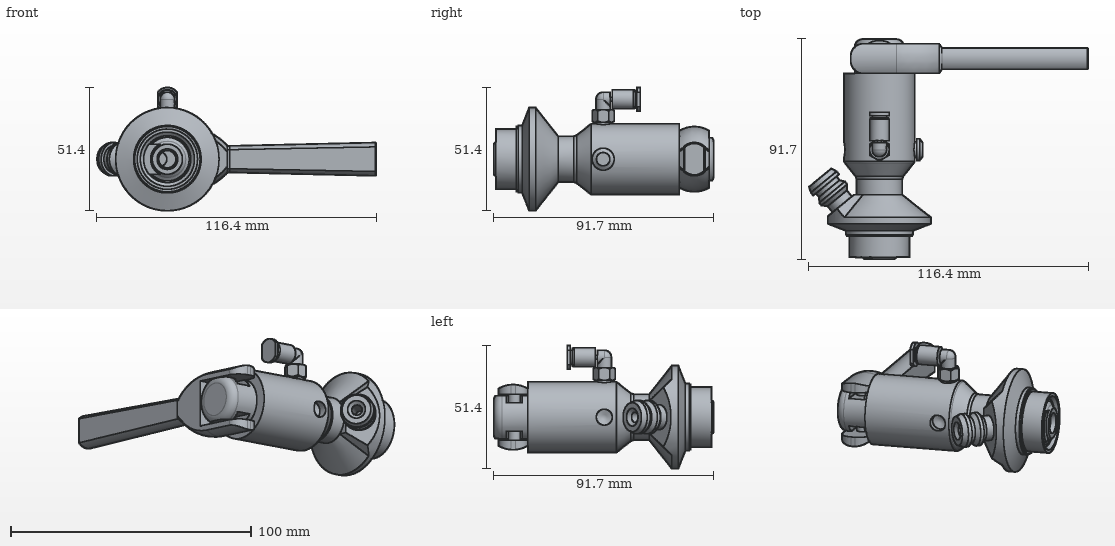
import cadquery as cq
import math


spigot_radius = 12.6
collar_radius = 14.1
collar_y = 8.6
collar_top_y = 10.9
collar_step = 0.5
collar_step_y = 9.3
flange_radius = 21.5
flange_y = 13.9
flange_top_y = 16.5
waist_radius = 9.6
waist_y = 26.0
waist_top_y = 32.5
body_cone_root_radius = 10.0
body_cone_root_y = 33.6
body_radius = 14.8
body_edge = 0.3
body_cone_y = 39.2
body_y = 39.8
body_top_y = 76.5

mouth_radius = 11.3
mouth_floor_radius = 9.8
mouth_depth = 1.4
seat_root_radius = 9.1
seat_top_radius = 7.6
seat_top_y = 0.3
plug_radius = 6.3
plug_face_y = -0.9
plug_hole_radius = 4.3
plug_hole_floor_radius = 3.6
plug_hole_depth = 2.1
drain_radius = 3.0
drain_x = -3.3
drain_depth = 0.6
lobe_radius = 9.9
lobe_face_y = -0.2

outlet_tilt = 39.5
outlet_origin_y = 3.1
pad_distance = 24.3
pad_top_half_width = 6.8
pad_base_half_width = 16.0
outlet_base_overlap = 2.3
outlet_neck_radius = 5.2
outlet_groove_radius = 5.6
outlet_ring_radius = 7.0
outlet_end_radius = 6.0
outlet_end = 38.8
outlet_rim_width = 4.0
outlet_rim_bevel = 2.3
outlet_ring_start = 27.6
outlet_ring_bevel = 1.9
outlet_ring_width = 5.2
outlet_bore_radius = 2.15
outlet_mouth_radius = 3.7
outlet_mouth_depth = 1.4
outlet_bore_depth = 14

stem_radius = 10.4
stem_top_y = 90.8
stem_fillet = 3.5
stem_half_thickness = 9.0
pivot_y = 82.2
pivot_slot_width = 6.6
pivot_slot_floor = 5.9
pivot_pin_radius = 2.5

fork_back_x = -12.0
fork_corner_radius = 5.2
fork_bend_x = 7.0
fork_end_x = 24.9
fork_bend_radius = 24.5
fork_depth = 12.3
fork_crown = 13.6
fork_shoulder = 11.9
fork_gap = 9.5
fork_gap_end_x = 10.9
lever_y = 82.6
grip_x = 26.1
grip_end_x = 87.1
grip_depth = 9.0
grip_root_shoulder = 4.0
grip_root_crown = 5.6
grip_end_shoulder = 5.1
grip_end_crown = 7.0
grip_end_chamfer = 0.5

port_y = 44.7
side_hole_radius = 3.32
side_hole_depth = 3.5
drill_tip_depth = 1.2
knob_stem_radius = 3.32
knob_head_radius = 4.6
knob_face_radius = 2.8
knob_head_x = 15.5
knob_rim_x = 16.8
knob_end_x = 18.2

nut_flats = 8.0
nut_z = 15.4
nut_top_z = 20.6
nut_chamfer = 0.6
nut_seat_radius = 3.32
elbow_radius = 3.0
elbow_z = 24.9
elbow_end_y = 47.6
link_radius = 0.87
sleeve_radius = 4.02
sleeve_y = 48.4
sleeve_end_y = 57.3
sleeve_lip_radius = 3.7
sleeve_lip_y = 58.0
release_neck_radius = 3.0
release_y = 58.8
release_end_y = 60.2
release_radius = 5.0
release_width = 8.0


def turned(outline):
    """Solid of revolution about Y from (radius, y) points."""
    return cq.Workplane("XY").polyline(outline).close().revolve(360, (0, 0, 0), (0, 1, 0))


def rod_y(radius, y_start, y_end, z=0):
    """Cylinder along Y."""
    start = cq.Vector(0, y_start, z)
    return cq.Workplane(cq.Solid.makeCylinder(radius, y_end - y_start, start, cq.Vector(0, 1, 0)))


def rod_z(radius, y, z_start, z_end):
    """Cylinder along Z at X = 0."""
    start = cq.Vector(0, y, z_start)
    return cq.Workplane(cq.Solid.makeCylinder(radius, z_end - z_start, start, cq.Vector(0, 0, 1)))


def box(x_range, y_range, z_range):
    """Box from its limits along X, Y and Z."""
    sizes = [high - low for low, high in (x_range, y_range, z_range)]
    corner = (x_range[0], y_range[0], z_range[0])
    return cq.Workplane("XY").box(*sizes, centered=False).translate(corner)


def on_outlet(shape):
    """Move a shape built along Y onto the tilted outlet axis."""
    return shape.rotate((0, 0, 0), (0, 0, 1), outlet_tilt).translate((0, outlet_origin_y, 0))


def make_body():
    return turned([
        (0, 0),
        (spigot_radius, 0),
        (spigot_radius, collar_y),
        (collar_radius - collar_step, collar_y),
        (collar_radius - collar_step, collar_step_y),
        (collar_radius, collar_step_y),
        (collar_radius, collar_top_y),
        (flange_radius, flange_y),
        (flange_radius, flange_top_y),
        (waist_radius, waist_y),
        (waist_radius, waist_top_y),
        (body_cone_root_radius, body_cone_root_y),
        (body_radius - body_edge, body_cone_y),
        (body_radius, body_y),
        (body_radius, body_top_y),
        (0, body_top_y),
    ])


def cut_inlet(body):
    mouth = turned([
        (0, 0),
        (mouth_radius, 0),
        (mouth_floor_radius, mouth_depth),
        (0, mouth_depth),
    ])
    plug = turned([
        (0, plug_face_y),
        (plug_radius, plug_face_y),
        (seat_top_radius, seat_top_y),
        (seat_root_radius, mouth_depth),
        (0, mouth_depth),
    ])
    lobe = rod_y(lobe_radius, lobe_face_y, mouth_depth).intersect(
        box((-lobe_radius, 0), (lobe_face_y, mouth_depth), (-plug_radius, plug_radius))
    )
    floor_y = plug_face_y + plug_hole_depth
    drain = rod_y(drain_radius, floor_y, floor_y + drain_depth).translate((drain_x, 0, 0))
    drain = drain.intersect(rod_y(plug_hole_floor_radius, floor_y, floor_y + drain_depth))
    hole = turned([
        (0, plug_face_y),
        (plug_hole_radius, plug_face_y),
        (plug_hole_floor_radius, floor_y),
        (0, floor_y),
    ])
    return body.cut(mouth).union(lobe).union(plug).cut(hole).cut(drain)


def make_outlet_pad():
    """Wedge on the flange cone, flat and square to the outlet axis on top."""
    wedge = (
        cq.Workplane("YZ")
        .polyline([
            (flange_top_y, -pad_base_half_width),
            (waist_y, -pad_top_half_width),
            (waist_y, pad_top_half_width),
            (flange_top_y, pad_base_half_width),
        ])
        .close()
        .extrude(-flange_radius)
    )
    below_flat = on_outlet(rod_y(2 * flange_radius, 0, pad_distance))
    return wedge.intersect(rod_y(flange_radius, flange_top_y, waist_y)).intersect(below_flat)


def make_outlet():
    """Hose spigot with a bevelled ring and a bevelled end rim."""
    base = pad_distance - outlet_base_overlap
    ring_end = outlet_ring_start + outlet_ring_width
    rim_start = outlet_end - outlet_rim_width
    return on_outlet(turned([
        (0, base),
        (outlet_neck_radius, base),
        (outlet_neck_radius, outlet_ring_start),
        (outlet_ring_radius, outlet_ring_start + outlet_ring_bevel),
        (outlet_ring_radius, ring_end - outlet_ring_bevel),
        (outlet_groove_radius, ring_end),
        (outlet_groove_radius, rim_start),
        (outlet_ring_radius, rim_start),
        (outlet_ring_radius, outlet_end - outlet_rim_bevel),
        (outlet_end_radius, outlet_end),
        (0, outlet_end),
    ]))


def make_outlet_bore():
    return on_outlet(turned([
        (0, outlet_end - outlet_bore_depth),
        (outlet_bore_radius, outlet_end - outlet_bore_depth),
        (outlet_bore_radius, outlet_end - outlet_mouth_depth),
        (outlet_mouth_radius, outlet_end),
        (0, outlet_end),
    ]))


def make_stem():
    stem = rod_y(stem_radius, body_top_y, stem_top_y).faces(">Y").edges().fillet(stem_fillet)
    stem = stem.intersect(box(
        (-stem_radius, stem_radius),
        (body_top_y, stem_top_y),
        (-stem_half_thickness, stem_half_thickness),
    ))
    half_slot = pivot_slot_width / 2
    slot_y = (pivot_y - half_slot, pivot_y + half_slot)
    slot = box((-stem_radius, 0), slot_y, (pivot_slot_floor, stem_half_thickness))
    slot = slot.union(rod_z(half_slot, pivot_y, pivot_slot_floor, stem_half_thickness))
    return stem.cut(slot).cut(slot.mirror("XY"))


def fork_profile():
    """Crowned cross-section of one fork arm, reaching down to the bend axis."""
    y_low = lever_y - fork_depth / 2
    y_high = lever_y + fork_depth / 2
    bend_z = fork_crown - fork_bend_radius
    return (
        cq.Workplane("YZ", origin=(fork_bend_x, 0, 0))
        .moveTo(y_low, bend_z)
        .lineTo(y_low, fork_shoulder)
        .threePointArc((lever_y, fork_crown), (y_high, fork_shoulder))
        .lineTo(y_high, bend_z)
        .close()
    )


def make_fork_half():
    """Upper half of the fork: a crowned arm bending down toward the grip."""
    y_range = (lever_y - fork_depth / 2, lever_y + fork_depth / 2)
    arm = fork_profile().extrude(fork_back_x - fork_bend_x)
    arm = arm.edges("|Z and <X").fillet(fork_corner_radius)
    arm = arm.intersect(box((fork_back_x, fork_bend_x), y_range, (0, fork_crown)))
    bend_z = fork_crown - fork_bend_radius
    bend = fork_profile().revolve(360, (lever_y, bend_z), (lever_y + 1.2, bend_z))
    bend = bend.intersect(box((fork_bend_x, fork_end_x), y_range, (0, fork_crown)))
    return arm.union(bend)


def make_lever_link(x_start, x_end, start_section, end_section):
    """Straight loft along X; each section is (depth, shoulder height, crown height)."""
    link = cq.Workplane("YZ", origin=(x_start, 0, 0))
    for offset, (depth, shoulder, crown) in ((0, start_section), (x_end - x_start, end_section)):
        y_low = lever_y - depth / 2
        y_high = lever_y + depth / 2
        link = (
            link.workplane(offset=offset)
            .moveTo(y_low, -shoulder)
            .lineTo(y_low, shoulder)
            .threePointArc((lever_y, crown), (y_high, shoulder))
            .lineTo(y_high, -shoulder)
            .threePointArc((lever_y, -crown), (y_low, -shoulder))
            .close()
        )
    return link.loft(ruled=True)


def make_lever():
    half = make_fork_half()
    fork = half.union(half.mirror("XY"))
    gap_y = (lever_y - fork_depth, lever_y + fork_depth)
    fork = fork.cut(box((fork_back_x, fork_gap_end_x), gap_y, (-fork_gap, fork_gap)))
    root = (grip_depth, grip_root_shoulder, grip_root_crown)
    end = (grip_depth, grip_end_shoulder, grip_end_crown)
    collar = make_lever_link(fork_end_x, grip_x, (fork_depth, grip_root_shoulder, grip_root_crown), root)
    grip = make_lever_link(grip_x, grip_end_x, root, end)
    grip = grip.faces(">X").edges().chamfer(grip_end_chamfer)
    pin = rod_z(pivot_pin_radius, pivot_y, pivot_slot_floor, fork_shoulder)
    return fork.union(collar).union(grip).union(pin).union(pin.mirror("XY"))


def make_knob():
    outline = [
        (0, 0),
        (0, knob_stem_radius),
        (knob_head_x, knob_stem_radius),
        (knob_head_x, knob_head_radius),
        (knob_rim_x, knob_head_radius),
        (knob_end_x, knob_face_radius),
        (knob_end_x, 0),
    ]
    knob = cq.Workplane("XY").polyline(outline).close().revolve(360, (0, 0, 0), (1, 0, 0))
    return knob.translate((0, port_y, 0))


def make_side_hole():
    """Blind drilled hole from -X with a conical bottom."""
    floor_x = side_hole_depth - body_radius
    outline = [
        (-body_radius, 0),
        (-body_radius, side_hole_radius),
        (floor_x, side_hole_radius),
        (floor_x + drill_tip_depth, 0),
    ]
    hole = cq.Workplane("XY").polyline(outline).close().revolve(360, (0, 0, 0), (1, 0, 0))
    return hole.translate((0, port_y, 0))


def make_fitting():
    nut_corners = nut_flats / math.cos(math.pi / 6)
    nut = (
        cq.Workplane("XY", origin=(0, port_y, nut_z))
        .transformed(rotate=(0, 0, 90))
        .polygon(6, nut_corners)
        .extrude(nut_top_z - nut_z)
    )
    nut_envelope = rod_z(nut_corners / 2, port_y, nut_z, nut_top_z).edges().chamfer(nut_chamfer)
    nut = nut.intersect(nut_envelope)
    seat = rod_z(nut_seat_radius, port_y, 0, nut_z)
    riser = rod_z(elbow_radius, port_y, nut_z, elbow_z)
    knee = cq.Workplane("XY", origin=(0, port_y, elbow_z)).sphere(elbow_radius)
    run = rod_y(elbow_radius, port_y, elbow_end_y, elbow_z)
    link = rod_y(link_radius, elbow_end_y, sleeve_y, elbow_z)
    sleeve = turned([
        (0, sleeve_y),
        (sleeve_radius, sleeve_y),
        (sleeve_radius, sleeve_end_y),
        (sleeve_lip_radius, sleeve_lip_y),
        (release_neck_radius, sleeve_lip_y),
        (release_neck_radius, release_y),
        (0, release_y),
    ]).translate((0, 0, elbow_z))
    release = rod_y(release_radius, release_y, release_end_y, elbow_z).intersect(box(
        (-release_width / 2, release_width / 2),
        (release_y, release_end_y),
        (elbow_z - release_radius, elbow_z + release_radius),
    ))
    fitting = nut
    for piece in (seat, riser, knee, run, link, sleeve, release):
        fitting = fitting.union(piece)
    return fitting


result = cut_inlet(make_body())
for piece in (make_outlet_pad(), make_outlet(), make_stem(), make_lever(), make_knob(), make_fitting()):
    result = result.union(piece)
result = result.cut(make_side_hole()).cut(make_outlet_bore())